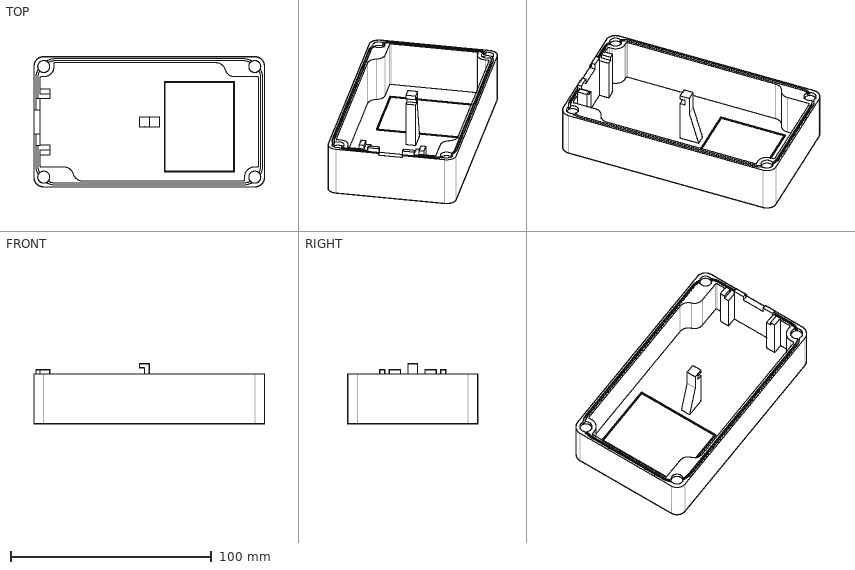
import cadquery as cq
import math

length = 115.0
width = 65.0
total_height = 30.0
box_height = 25.0
corner_radius = 5.0
floor = 2.0

rim_step = 1.0
wall = 3 * rim_step
groove_depth = rim_step
groove_start = 10.9

block_reach = 10.0
block_radius = 5.0
shoulder_reach = 15.0
inner_fillet = 0.7
recess_radius = 3.0
recess_depth = 2.0
recess_inset = corner_radius

panel_left = 7.5
panel_length = 35.0
panel_front = -25.0
panel_width = 45.0
panel_groove = 0.5
panel_depth = 0.5

hook_left = -5.0
hook_depth = 5.0
hook_width = 5.0
hook_base = 10.0
hook_slot_bottom = box_height
hook_slot_top = 28.0
hook_slot_reach = 2.5
hook_slope_top = 20.0

tab_top = 27.0
notch_half = 6.0
bar_outer = 11.7
ledge_inner = 11.5
post_inner = 13.9
post_outer = 16.5
post_reach = 8.0

half_length = length / 2
half_width = width / 2
inner_x = half_length - wall
inner_y = half_width - wall


def box(x0, x1, y0, y1, z0, z1):
    """Axis-aligned block between two opposite corners."""
    return cq.Workplane("XY").box(x1 - x0, y1 - y0, z1 - z0, centered=False).translate((x0, y0, z0))


def rounded_slab(inset, radius, z0, z1):
    """Slab that follows the box outline at a constant inset."""
    return (
        cq.Workplane("XY", origin=(0, 0, z0))
        .rect(length - 2 * inset, width - 2 * inset)
        .extrude(z1 - z0)
        .edges("|Z")
        .fillet(radius)
    )


def with_opposite(solid):
    """The solid and its copy turned half a turn about the Z axis."""
    return solid.union(solid.rotate((0, 0, 0), (0, 0, 1), 180))


def small_block():
    """Corner block at -X +Y with one rounded corner."""
    block = box(-inner_x, block_reach - half_length, half_width - block_reach, inner_y, floor, box_height)
    return block.edges("|Z and >X and <Y").fillet(block_radius)


def shoulder_block():
    """Long corner block at +X +Y whose flank is an S of two equal tangent arcs."""
    y0 = half_width - block_reach
    drop = inner_y - y0
    run = math.sqrt(drop * (4 * block_radius - drop))
    x_low = half_length - shoulder_reach
    x_high = x_low - run
    half_turn = math.acos(1 - drop / (2 * block_radius)) / 2
    mid_run = block_radius * math.sin(half_turn)
    mid_drop = block_radius * (1 - math.cos(half_turn))
    return (
        cq.Workplane("XY", origin=(0, 0, floor))
        .moveTo(inner_x, y0)
        .lineTo(x_low, y0)
        .threePointArc((x_low - mid_run, y0 + mid_drop), (x_low - run / 2, y0 + drop / 2))
        .threePointArc((x_high + mid_run, inner_y - mid_drop), (x_high, inner_y))
        .lineTo(inner_x, inner_y)
        .close()
        .extrude(box_height - floor)
    )


def cavity():
    """Inside space between the corner blocks, with its sharp upright corners rounded."""
    space = box(-inner_x, inner_x, -inner_y, inner_y, floor, box_height)
    space = space.cut(with_opposite(small_block())).cut(with_opposite(shoulder_block()))
    block_x = half_length - block_reach
    block_y = half_width - block_reach
    mid_z = (floor + box_height) / 2
    corners = [(-inner_x, block_y), (inner_x, block_y), (-block_x, inner_y)]
    for x, y in corners:
        for side in (1, -1):
            corner = cq.selectors.NearestToPointSelector((side * x, side * y, mid_z))
            space = space.edges("|Z").edges(corner).fillet(inner_fillet)
    return space


def seal_groove():
    """Ring cut in the rim, bending inwards towards the screw recesses."""
    bottom = box_height - groove_depth
    outer = rounded_slab(rim_step, groove_start - rim_step, bottom, box_height)
    inner = rounded_slab(2 * rim_step, groove_start - 2 * rim_step, bottom, box_height)
    return outer.cut(inner)


def screw_recesses():
    return (
        cq.Workplane("XY", origin=(0, 0, box_height - recess_depth))
        .rect(length - 2 * recess_inset, width - 2 * recess_inset, forConstruction=True)
        .vertices()
        .circle(recess_radius)
        .extrude(recess_depth)
    )


def panel_outline():
    """Narrow rectangular groove in the floor."""
    right = panel_left + panel_length
    back = panel_front + panel_width
    bottom = floor - panel_depth
    outer = box(panel_left, right, panel_front, back, bottom, floor)
    inner = box(
        panel_left + panel_groove, right - panel_groove,
        panel_front + panel_groove, back - panel_groove, bottom, floor,
    )
    return outer.cut(inner)


def hook_post():
    """Tapered post with a slot under its head, open towards -X."""
    hook_right = hook_left + hook_depth
    slot_right = hook_left + hook_slot_reach
    profile = [
        (hook_left, floor),
        (hook_left + hook_base, floor),
        (hook_right, hook_slope_top),
        (hook_right, total_height),
        (hook_left, total_height),
        (hook_left, hook_slot_top),
        (slot_right, hook_slot_top),
        (slot_right, hook_slot_bottom),
        (hook_left, hook_slot_bottom),
    ]
    return cq.Workplane("XZ").polyline(profile).close().extrude(hook_width / 2, both=True)


def tab():
    """Bar on the rim, and a ledge and a post against the wall, on the +Y side of the notch."""
    bar_left = rim_step - half_length
    post_right = post_reach - half_length
    bar = box(bar_left, -inner_x, notch_half, bar_outer, box_height - groove_depth, tab_top)
    ledge = box(-inner_x, post_right, ledge_inner, post_inner, floor, box_height)
    post = box(-inner_x, post_right, post_inner, post_outer, floor, tab_top)
    return bar.union(ledge).union(post)


body = rounded_slab(0, corner_radius, 0, box_height)
body = body.cut(cavity())

notch = box(-half_length, -inner_x, -notch_half, notch_half, box_height - groove_depth, box_height)
body = body.cut(seal_groove()).cut(screw_recesses()).cut(notch).cut(panel_outline())

body = body.union(hook_post()).union(tab()).union(tab().mirror("XZ"))

result = body